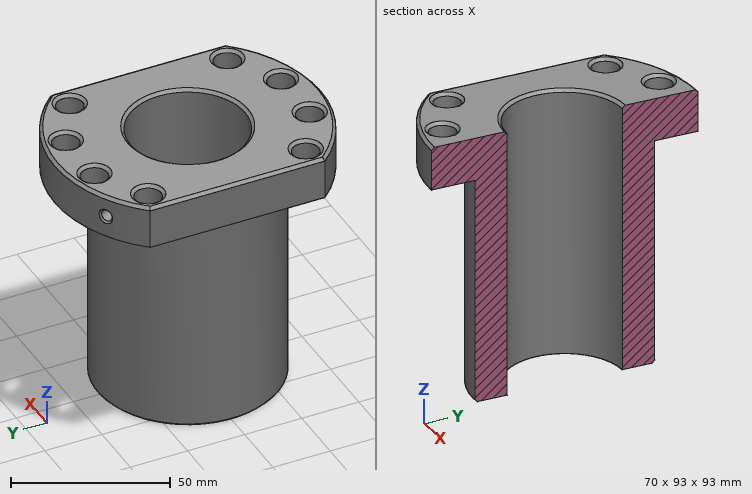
import cadquery as cq

total_height = 93.0
flange_diameter = 93.0
flange_width = 70.0
flange_thickness = 15.0
body_diameter = 63.0
bore_diameter = 40.0
edge_chamfer = 1.0

bolt_circle_diameter = 78.0
bolt_hole_diameter = 9.0
bolt_angles_from_y = (15, 45)

port_angle_from_y = 30
port_diameter = 4.0
port_mouth_diameter = 5.2
port_depth = 15.0


def make_flange():
    """Round flange with two flats parallel to the YZ plane and a chamfered top rim."""
    disc = cq.Workplane("XY").circle(flange_diameter / 2).extrude(flange_thickness)
    flats = cq.Workplane("XY").rect(flange_width, flange_diameter).extrude(flange_thickness)
    flange = disc.intersect(flats).faces(">Z").edges().chamfer(edge_chamfer)
    return flange.translate((0, 0, total_height - flange_thickness))


def make_body():
    """Cylindrical nut body with a chamfered lower rim."""
    body = cq.Workplane("XY").circle(body_diameter / 2).extrude(total_height - edge_chamfer)
    return body.faces("<Z").edges().chamfer(edge_chamfer)


def make_chamfered_hole(diameter, depth, chamfer):
    """Cutter going down from the origin along -Z, chamfered at its mouth."""
    radius = diameter / 2
    profile = (
        cq.Workplane("XZ")
        .lineTo(radius + chamfer, 0)
        .lineTo(radius, -chamfer)
        .lineTo(radius, -depth)
        .lineTo(0, -depth)
        .close()
    )
    return profile.revolve(360, (0, 0, 0), (0, 1, 0))


def make_port():
    """Cutter for the port, pointing from the flange rim toward the part axis."""
    mouth_chamfer = (port_mouth_diameter - port_diameter) / 2
    port = make_chamfered_hole(port_diameter, port_depth, mouth_chamfer)
    port = port.rotate((0, 0, 0), (1, 0, 0), -90)
    port = port.translate((0, flange_diameter / 2, total_height - flange_thickness / 2))
    return port.rotate((0, 0, 0), (0, 0, 1), port_angle_from_y)


result = make_flange().union(make_body())

bore = make_chamfered_hole(bore_diameter, total_height, edge_chamfer)
result = result.cut(bore.translate((0, 0, total_height)))

bolt_hole = make_chamfered_hole(bolt_hole_diameter, flange_thickness, edge_chamfer)
bolt_hole = bolt_hole.translate((0, bolt_circle_diameter / 2, total_height))
for side_angle in (0, 180):
    for angle in bolt_angles_from_y:
        for direction in (-1, 1):
            turn = side_angle + direction * angle
            result = result.cut(bolt_hole.rotate((0, 0, 0), (0, 0, 1), turn))

result = result.cut(make_port())